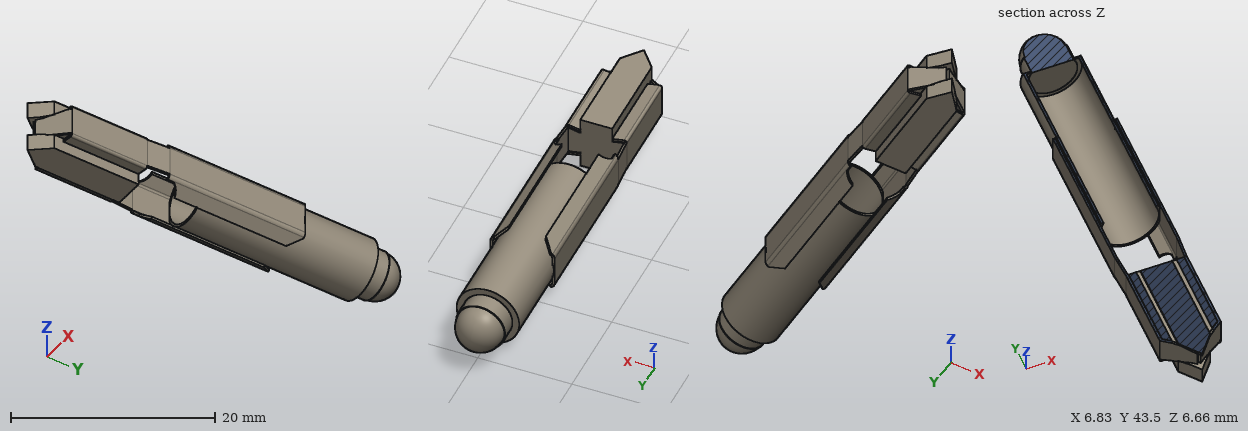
import cadquery as cq
import math


total_length = 43.5

dome_radius = 2.52
stem_radius = 2.6

sleeve_radius = 3.328
sleeve_wall = 0.25
sleeve_start_y = 18.85
sleeve_end_y = 39.15

sheet = 0.25
strip_half_height = 1.65

arm_half_width = 3.415
arm_start_y = 14.5
arm_end_y = 30.5
flange_slope = math.radians(36)
flange_start_y = 16.0
flange_arc_end_y = 15.22
flange_arc_radius = 1.75
flange_taper_length = 1.3
stub_width = 0.15

shoe_half_width = 3.24
shoe_start_y = 3.1
shoe_end_y = 11.95
lip_slope = math.radians(11)
end_plate_tip_x = 0.17
end_plate_tip_y = 0.83

blade_half_width = 1.7
blade_half_height = 2.98
blade_shoulder_y = 2.05
waist_edge_half_height = 1.52
waist_half_height = 1.1

bore_radius = sleeve_radius - sleeve_wall
end_wall_y = sleeve_end_y - sleeve_wall
shoe_inner_x = shoe_half_width - sheet

flange_bend = math.pi / 2 - flange_slope
flange_end_x = sleeve_radius * math.sin(flange_slope)
arm_corner_z = (sleeve_radius + sheet - arm_half_width * math.sin(flange_slope)) / math.cos(flange_slope)
arm_bend_setback = arm_corner_z - strip_half_height
arm_bend_radius = arm_bend_setback / math.tan(flange_bend / 2)
flange_root_x = arm_half_width - arm_bend_setback * math.cos(flange_slope)
flange_root_z = arm_corner_z + arm_bend_setback * math.sin(flange_slope)
flange_width = (flange_root_x - flange_end_x) / math.cos(flange_slope)

lip_bend = math.pi / 2 + lip_slope
lip_root_x = shoe_inner_x + sheet * math.cos(lip_bend)
lip_root_z = strip_half_height + sheet * math.sin(lip_bend)
lip_end_z = strip_half_height - (shoe_inner_x - blade_half_width) * math.tan(lip_slope)
lip_thickness_z = sheet / math.cos(lip_slope)

end_plate_angle = math.atan2(shoe_start_y - end_plate_tip_y, shoe_half_width - end_plate_tip_x)
end_plate_inner_x = end_plate_tip_x - sheet * math.sin(end_plate_angle)
end_plate_inner_y = end_plate_tip_y + sheet * math.cos(end_plate_angle)

waist_flat_x = shoe_inner_x - (waist_edge_half_height - waist_half_height) / math.tan(lip_slope)
waist_outer_z = waist_edge_half_height + sheet * math.tan(lip_slope)


def extrude_along_y(xz_outline, start_y, end_y):
    """Extrude an outline drawn on the XZ plane from start_y to end_y."""
    return xz_outline.extrude(start_y - end_y).translate((0, start_y, 0))


def with_mirrored_lower_half(upper):
    """Join an upper feature to its mirror image below the XY plane."""
    return upper.union(upper.mirror("XY"))


def end_plate_back_y(x):
    """Y of the end plate's inner face at a given X."""
    return end_plate_inner_y + (x - end_plate_inner_x) * math.tan(end_plate_angle)


def make_waist_section(start_y, end_y):
    """Bow-tie bar: tall at both sides, with a lower flat band along the middle."""
    outline = (
        cq.Workplane("XZ")
        .polyline([
            (-shoe_half_width, waist_outer_z),
            (-waist_flat_x, waist_half_height),
            (waist_flat_x, waist_half_height),
            (shoe_half_width, waist_outer_z),
            (shoe_half_width, -waist_outer_z),
            (waist_flat_x, -waist_half_height),
            (-waist_flat_x, -waist_half_height),
            (-shoe_half_width, -waist_outer_z),
        ])
        .close()
    )
    return extrude_along_y(outline, start_y, end_y)


def make_bulb():
    """Stem that passes through the sleeve's end wall, topped by a slightly narrower hemisphere."""
    dome_base_y = total_length - dome_radius
    half_section = (
        cq.Workplane("YZ")
        .moveTo(end_wall_y, 0)
        .lineTo(end_wall_y, stem_radius)
        .lineTo(dome_base_y, stem_radius)
        .lineTo(dome_base_y, dome_radius)
        .radiusArc((total_length, 0), dome_radius)
        .close()
    )
    return half_section.revolve(360, (0, 0, 0), (1, 0, 0))


def make_bent_wall(outer_x, bend_angle, bend_radius, start_y, end_y):
    """Upper half of an upright wall, with the bend that turns its top inward by bend_angle."""
    inner_radius = bend_radius - sheet
    bend_centre_x = outer_x - bend_radius

    def point_on_bend(radius, angle):
        return bend_centre_x + radius * math.cos(angle), strip_half_height + radius * math.sin(angle)

    outline = (
        cq.Workplane("XZ")
        .moveTo(outer_x - sheet, 0)
        .lineTo(outer_x, 0)
        .lineTo(outer_x, strip_half_height)
        .threePointArc(point_on_bend(bend_radius, bend_angle / 2), point_on_bend(bend_radius, bend_angle))
        .lineTo(*point_on_bend(inner_radius, bend_angle))
    )
    if inner_radius > 0:
        outline = outline.threePointArc(
            point_on_bend(inner_radius, bend_angle / 2), point_on_bend(inner_radius, 0)
        )
    return extrude_along_y(outline.close(), start_y, end_y)


def make_flange():
    """Sloping flange: tapered at its +Y end, cut by an arc down to a narrow stub at its -Y end."""
    outer_face = cq.Plane(
        origin=(flange_root_x, 0, flange_root_z),
        xDir=(0, 1, 0),
        normal=(math.sin(flange_slope), 0, math.cos(flange_slope)),
    )
    flange = (
        cq.Workplane(outer_face)
        .moveTo(arm_start_y, 0)
        .lineTo(arm_end_y, 0)
        .lineTo(arm_end_y, stub_width)
        .lineTo(arm_end_y - flange_taper_length, flange_width)
        .lineTo(flange_start_y, flange_width)
        .radiusArc((flange_arc_end_y, stub_width), flange_arc_radius)
        .lineTo(arm_start_y, stub_width)
        .close()
        .extrude(-sheet)
    )
    beyond_edge = cq.Workplane("XY").box(2 * flange_end_x, 2 * total_length, 2 * total_length)
    return flange.cut(beyond_edge)


def make_arm():
    """Wall beside the sleeve with a flange above and below."""
    wall = make_bent_wall(arm_half_width, flange_bend, arm_bend_radius, arm_start_y, arm_end_y)
    return with_mirrored_lower_half(wall.union(make_flange()))


def make_link():
    """Flat strip that slants inward from the arm to the shoe."""
    outline = cq.Workplane("XY").polyline([
        (arm_half_width, arm_start_y),
        (shoe_half_width, shoe_end_y),
        (shoe_inner_x, shoe_end_y),
        (arm_half_width - sheet, arm_start_y),
    ])
    return outline.close().extrude(strip_half_height, both=True)


def make_shoe():
    """Wall beside the insulator with tight bends and two lips that slope in to the blades."""
    wall = make_bent_wall(shoe_half_width, lip_bend, sheet, shoe_start_y, shoe_end_y)
    lip_outline = cq.Workplane("XZ").polyline([
        (shoe_inner_x, strip_half_height),
        (lip_root_x, lip_root_z),
        (blade_half_width, lip_end_z + lip_thickness_z),
        (blade_half_width, lip_end_z),
    ])
    lip = extrude_along_y(lip_outline.close(), shoe_start_y, shoe_end_y)
    return with_mirrored_lower_half(wall.union(lip))


def make_end_plate():
    """Plate slanting to the middle of the tip, with edges that follow the waist's section."""
    outline = cq.Workplane("XY").polyline([
        (shoe_half_width, shoe_start_y),
        (end_plate_tip_x, end_plate_tip_y),
        (end_plate_inner_x, end_plate_inner_y),
        (shoe_inner_x, end_plate_back_y(shoe_inner_x)),
        (shoe_half_width, end_plate_back_y(shoe_inner_x)),
    ])
    plate = outline.close().extrude(waist_outer_z, both=True)
    return plate.intersect(make_waist_section(0, shoe_end_y))


def make_contact():
    """One folded strip: arm, link, shoe and end plate."""
    return make_arm().union(make_link()).union(make_shoe()).union(make_end_plate())


def make_sleeve(contacts):
    """Tube with an end wall, a hole for the bulb's stem and flats where the arms are set in."""
    tube = extrude_along_y(cq.Workplane("XZ").circle(sleeve_radius), sleeve_start_y, sleeve_end_y)
    bore = extrude_along_y(cq.Workplane("XZ").circle(bore_radius), sleeve_start_y, end_wall_y)
    stem_hole = extrude_along_y(cq.Workplane("XZ").circle(stem_radius), end_wall_y, sleeve_end_y)
    sleeve = tube.cut(bore).cut(stem_hole)
    for contact in contacts:
        sleeve = sleeve.cut(contact)
    return sleeve


def make_waist():
    """Core between the shoes, with a nose that backs the two end plates."""
    shoulder_y = end_plate_back_y(shoe_inner_x)
    outline = cq.Workplane("XY").polyline([
        (0, end_plate_back_y(0)),
        (shoe_inner_x, shoulder_y),
        (shoe_inner_x, shoe_end_y),
        (-shoe_inner_x, shoe_end_y),
        (-shoe_inner_x, shoulder_y),
    ])
    core = outline.close().extrude(waist_outer_z, both=True)
    return core.intersect(make_waist_section(0, shoe_end_y))


def make_blades():
    """Upper and lower pointed blades, separated by the waist's section."""
    outline = cq.Workplane("XY").polyline([
        (0, 0),
        (blade_half_width, blade_shoulder_y),
        (blade_half_width, shoe_end_y),
        (-blade_half_width, shoe_end_y),
        (-blade_half_width, blade_shoulder_y),
    ])
    block = outline.close().extrude(blade_half_height, both=True)
    return block.cut(make_waist_section(0, shoe_end_y))


def make_insulator():
    """Waist and blades in one piece."""
    return make_waist().union(make_blades())


right_contact = make_contact()
left_contact = right_contact.mirror("YZ")
bulb = make_bulb()
sleeve = make_sleeve([right_contact, left_contact])
insulator = make_insulator()

result = cq.Compound.makeCompound([
    bulb.solids().val(),
    sleeve.solids().val(),
    insulator.solids().val(),
    right_contact.solids().val(),
    left_contact.solids().val(),
])